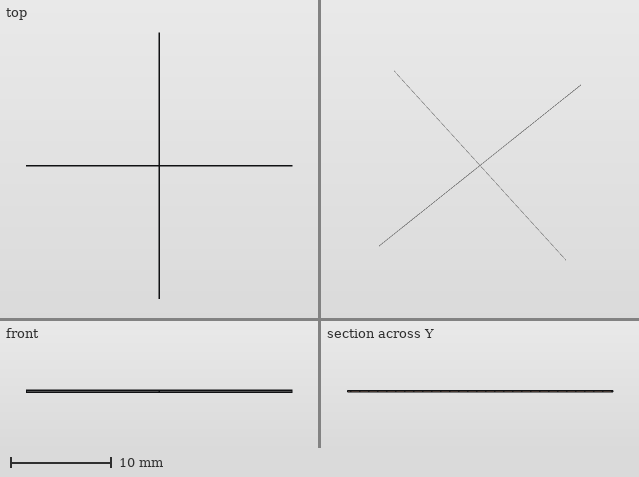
import cadquery as cq

bar_length = 26.43
bar_width = 0.008
bar_height = 0.21

bar_along_x = cq.Workplane("XY").box(bar_length, bar_width, bar_height)
bar_along_y = cq.Workplane("XY").box(bar_width, bar_length, bar_height)

result = bar_along_x.union(bar_along_y)